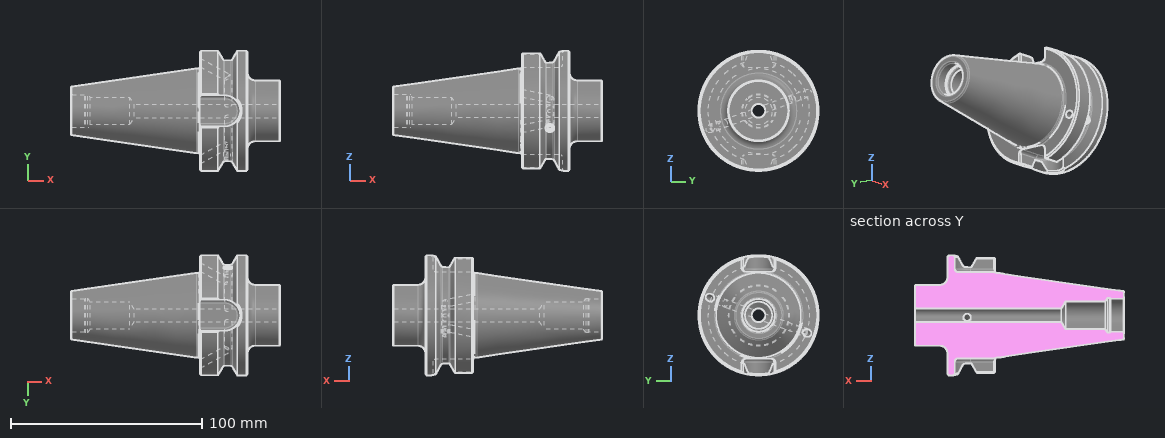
import cadquery as cq
import math

total_length = 109.4
taper_length = 65.4
flange_front = 67.4
flange_back = 92.4
groove_front_top = 76.9
groove_front_bottom = 79.9
groove_back_bottom = 84.0
groove_back_top = 87.1

flange_diameter = 63.0
flange_radius = flange_diameter / 2
groove_radius = 26.5
taper_small_radius = 12.8
taper_large_radius = 22.2
nose_radius = 16.0

tip_round = 0.8
flange_chamfer = 0.9
neck_fillet = 0.9
nose_fillet = 3.9
nose_chamfer = 0.4
groove_fillet = 0.8

pilot_radius = 8.5
pilot_mouth_round = 0.9
relief_start = 7.0
relief_end = 9.0
relief_depth = 0.4
thread_radius = 7.1
thread_start = 10.0
thread_end = 30.6
through_radius = 3.5
drill_tip_half_angle = 59.0

slot_half_width = 8.1
slot_floor = 22.6
slot_round_centre = 80.4
slot_floor_fillet = 1.6
slot_chamfer = 0.9

channel_tilt = 20.0
channel_slope = 30.0
channel_radius = 2.0
channel_mouth_radius = 27.0
screw_x = 82.0
screw_radius = 2.3
screw_length = 4.4
screw_chamfer = 0.2
socket_width = 2.4
socket_depth = 2.4

hexagon_half_side_angle = 30.0

cut_clearance = 2.2
length_tolerance = 0.01

channel_run = screw_x - flange_front
meeting_radius = channel_mouth_radius - channel_run * math.tan(math.radians(channel_slope))


def is_groove_corner(edge):
    """True for the two circles where the groove's flanks meet its bottom."""
    return edge.geomType() == "CIRCLE" and abs(edge.radius() - groove_radius) < length_tolerance


def turned_body():
    """Taper, flange with its V groove, and nose, turned about X."""
    neck_start = flange_front - neck_fillet
    nose_arc_start = flange_back + nose_fillet
    outline = (
        cq.Workplane("XY")
        .moveTo(0, 0)
        .lineTo(0, taper_small_radius - tip_round)
        .radiusArc((tip_round, taper_small_radius), tip_round)
        .lineTo(taper_length, taper_large_radius)
        .lineTo(neck_start, taper_large_radius)
        .radiusArc((flange_front, taper_large_radius + neck_fillet), -neck_fillet)
        .lineTo(flange_front, flange_radius - flange_chamfer)
        .lineTo(flange_front + flange_chamfer, flange_radius)
        .lineTo(groove_front_top, flange_radius)
        .lineTo(groove_front_bottom, groove_radius)
        .lineTo(groove_back_bottom, groove_radius)
        .lineTo(groove_back_top, flange_radius)
        .lineTo(flange_back - flange_chamfer, flange_radius)
        .lineTo(flange_back, flange_radius - flange_chamfer)
        .lineTo(flange_back, nose_radius + nose_fillet)
        .radiusArc((nose_arc_start, nose_radius), -nose_fillet)
        .lineTo(total_length - nose_chamfer, nose_radius)
        .lineTo(total_length, nose_radius - nose_chamfer)
        .lineTo(total_length, 0)
        .close()
    )
    body = outline.revolve(360, (0, 0, 0), (1, 0, 0))
    return body.edges().filter(is_groove_corner).fillet(groove_fillet)


def central_bore():
    """Stepped bore along X, as the volume to remove."""
    cone_length = (thread_radius - through_radius) / math.tan(math.radians(drill_tip_half_angle))
    outline = (
        cq.Workplane("XY")
        .moveTo(0, 0)
        .lineTo(0, pilot_radius + pilot_mouth_round)
        .radiusArc((pilot_mouth_round, pilot_radius), -pilot_mouth_round)
        .lineTo(relief_start, pilot_radius)
        .lineTo(relief_start + relief_depth, pilot_radius + relief_depth)
        .lineTo(relief_end - relief_depth, pilot_radius + relief_depth)
        .lineTo(relief_end, pilot_radius)
        .lineTo(thread_start, thread_radius)
        .lineTo(thread_end, thread_radius)
        .lineTo(thread_end + cone_length, through_radius)
        .lineTo(total_length, through_radius)
        .lineTo(total_length, 0)
        .close()
    )
    return outline.revolve(360, (0, 0, 0), (1, 0, 0))


def drive_slot():
    """Upper round-ended slot, with a filleted floor and a flared mouth."""
    height = flange_radius - slot_floor + cut_clearance
    front = flange_front - neck_fillet
    slot = (
        cq.Workplane("XY", origin=(0, 0, slot_floor))
        .moveTo(front, -slot_half_width)
        .lineTo(slot_round_centre, -slot_half_width)
        .threePointArc((slot_round_centre + slot_half_width, 0), (slot_round_centre, slot_half_width))
        .lineTo(front, slot_half_width)
        .close()
        .extrude(height)
        .edges("<Z")
        .edges("not <X")
        .fillet(slot_floor_fillet)
    )
    flare = (
        cq.Sketch()
        .rect(2 * (slot_half_width + slot_chamfer), height)
        .vertices("<Y")
        .fillet(slot_floor_fillet + slot_chamfer)
    )
    mouth = (
        cq.Workplane("YZ", origin=(flange_front, 0, slot_floor + height / 2))
        .placeSketch(flare)
        .extrude(slot_chamfer, taper=45)
    )
    return slot.union(mouth)


def is_slot_rim(edge):
    """True for the edges where a slot wall meets the flange's outer surface."""
    point = edge.positionAt(0.5)
    on_rim = abs(math.hypot(point.y, point.z) - flange_radius) < length_tolerance
    return on_rim and abs(point.y) < slot_half_width + length_tolerance and edge.geomType() != "CIRCLE"


def around_axis(body, angle):
    """Turn a body about the X axis, in degrees."""
    return body.rotate((0, 0, 0), (1, 0, 0), angle)


def sloping_channel():
    """Hole from the flange face on the -Y side, sloping inward to the cross hole."""
    slope = math.radians(channel_slope)
    direction = cq.Vector(math.cos(slope), math.sin(slope), 0)
    mouth = cq.Vector(flange_front, -channel_mouth_radius, 0)
    start = mouth - direction * cut_clearance
    length = channel_run / math.cos(slope) + cut_clearance
    return cq.Workplane(cq.Solid.makeCylinder(channel_radius, length, start, direction))


def cross_hole():
    """Radial hole from the groove that joins both channels, wider where the screw sits."""
    seat = groove_radius - screw_length
    passage = (
        cq.Workplane("XZ", origin=(screw_x, meeting_radius, 0))
        .circle(channel_radius)
        .extrude(meeting_radius + groove_radius)
    )
    screw_seat = (
        cq.Workplane("XZ", origin=(screw_x, -seat, 0))
        .circle(screw_radius)
        .extrude(screw_length + cut_clearance)
    )
    return passage.union(screw_seat)


def make_holder():
    """Tool holder with its bore, two opposite drive slots and coolant channels."""
    holder = turned_body().cut(central_bore())
    slot = drive_slot()
    holder = holder.cut(slot).cut(around_axis(slot, 180))
    holder = holder.edges().filter(is_slot_rim).chamfer(slot_chamfer)
    for angle in (channel_tilt, channel_tilt + 180):
        holder = holder.cut(around_axis(sloping_channel(), angle))
    return holder.cut(around_axis(cross_hole(), channel_tilt))


def make_plug_screw():
    """Set screw with a hexagon socket, set in the outer end of the cross hole."""
    socket_corner_diameter = socket_width / math.cos(math.radians(hexagon_half_side_angle))
    screw = (
        cq.Workplane("XZ", origin=(screw_x, screw_length - groove_radius, 0))
        .circle(screw_radius)
        .extrude(screw_length)
        .faces("<Y")
        .chamfer(screw_chamfer)
        .faces("<Y")
        .workplane()
        .transformed(rotate=(0, 0, hexagon_half_side_angle))
        .polygon(6, socket_corner_diameter)
        .cutBlind(-socket_depth)
    )
    return around_axis(screw, channel_tilt)


holder = make_holder()
plug_screw = make_plug_screw()

result = cq.Compound.makeCompound([holder.val(), plug_screw.val()])